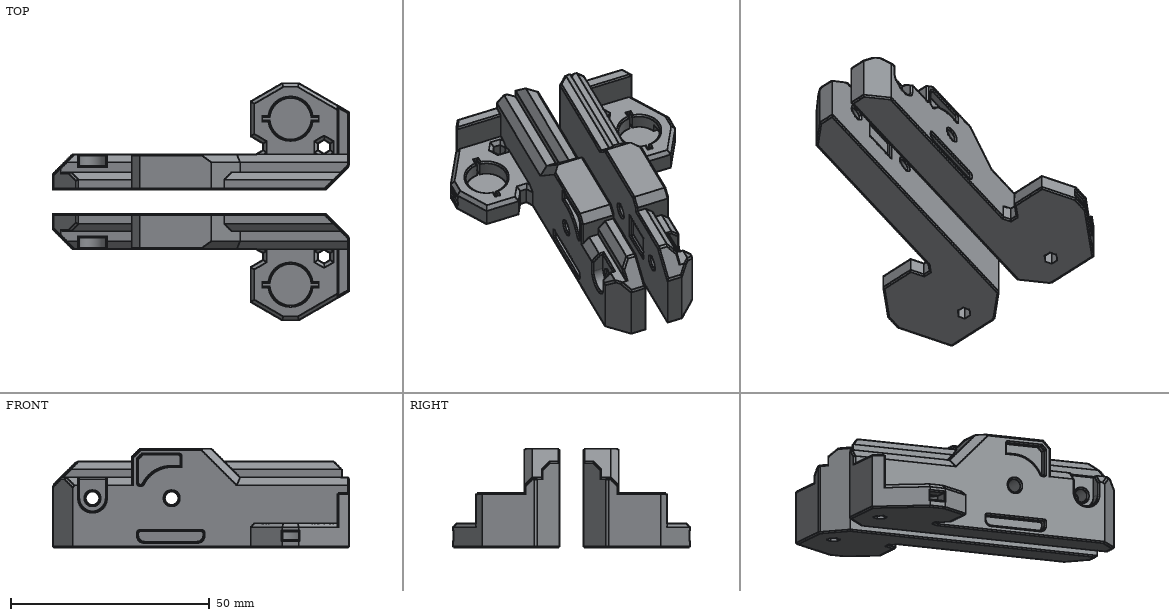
import cadquery as cq
import math

LENGTH = 74.8
HALF_WIDTH = 29.9
HEIGHT = 25.0

INNER_FACE = 3.0
RIDGE_TOP_EDGE = 5.5
RIDGE_FOOT = 7.5
OUTER_FACE = 12.0
LEDGE_HEIGHT = 17.7
RIDGE_HEIGHT = 21.8
BEVEL = 2.0
SHOULDER = LEDGE_HEIGHT - BEVEL
EDGE = 0.4

NOSE_CORNER = 5.0
TAIL_CORNER = 6.0
RAMP_START = SHOULDER

BLOCK_START = 20.0
BLOCK_TOP_END = 40.0

BOLT_HOLE = 3.4
BOLT_HEIGHT = 12.5
SEAT_BOLT_X = 10.0
PIVOT_BOLT_X = 30.0
SEAT_RADIUS = 3.3
SEAT_FLOOR = 9.05

RECESS_DEPTH = 2.0
RECESS_START = 21.6
WINDOW_TOP = 23.4
WINDOW_END = 32.2
WINDOW_TIP = 15.9
WINDOW_ARC_RADIUS = 8.2
WINDOW_CORNER = 1.05
WINDOW_TIP_ROUND = 0.4
SLOT_END = 37.9
SLOT_BOTTOM = 1.6
SLOT_TOP = 4.1
SLOT_LOWER_ROUND = 1.4
SLOT_UPPER_ROUND = 0.4

INNER_POCKET_LENGTH = 8.2
INNER_POCKET_HEIGHT = 6.7
INNER_POCKET_DEPTH = 1.0

FOOT_HEIGHT = 6.1
FOOT_CHAMFER = 1.0
FOOT_LEFT = 49.9
FOOT_ROOT = OUTER_FACE - 0.75
FOOT_SLOPE = math.tan(math.radians(30))
TIP_WIDTH = 4.2
MAGNET_X = 60.0
MAGNET_Y = 20.95
MAGNET_DIAMETER = 10.5
MAGNET_FLOOR = 2.0
PRY_SLOT_LENGTH = 14.2
PRY_SLOT_WIDTH = 0.7
TIP_WINDOW_WIDTH = 4.05
TIP_WINDOW_HEIGHT = 2.0
HEX_SPACING = 16.9
HEX_Y = 13.85
HEX_FLATS = 3.0
HEX_CIRCUMRADIUS = HEX_FLATS / math.sqrt(3)

WALL_THICKNESS = 3.0
WALL_HEIGHT = 13.85

TOL = 0.01


def side_sketch(y):
    """Workplane in X-Z at the given Y, extruding toward -Y (outward)."""
    return cq.Workplane("XZ", origin=(0, y, 0))


def rail():
    """Rail with a high inner ridge and a lower bevelled ledge outside it."""
    section = [
        (-INNER_FACE, 0),
        (-INNER_FACE, RIDGE_HEIGHT),
        (-RIDGE_TOP_EDGE, RIDGE_HEIGHT),
        (-RIDGE_FOOT, RIDGE_HEIGHT - (RIDGE_FOOT - RIDGE_TOP_EDGE)),
        (-RIDGE_FOOT, LEDGE_HEIGHT),
        (-OUTER_FACE + BEVEL, LEDGE_HEIGHT),
        (-OUTER_FACE, SHOULDER),
        (-OUTER_FACE, 0),
    ]
    return cq.Workplane("YZ").polyline(section).close().extrude(LENGTH)


def block():
    """Raised block whose 45 degree rear slope runs down into the rail."""
    outline = [
        (BLOCK_START, 0),
        (BLOCK_START, HEIGHT - BEVEL),
        (BLOCK_START + BEVEL, HEIGHT),
        (BLOCK_TOP_END, HEIGHT),
        (BLOCK_TOP_END + HEIGHT, 0),
    ]
    solid = side_sketch(-INNER_FACE).polyline(outline).close().extrude(OUTER_FACE - INNER_FACE)
    solid = solid.faces("<Y").edges(">X").chamfer(BEVEL)
    rim = solid.faces("<Y").edges().filter(lambda e: e.Center().x < BLOCK_TOP_END and e.Center().z > TOL)
    return rim.chamfer(EDGE)


def nose_ramp():
    points = [(0, RAMP_START), (0, HEIGHT), (HEIGHT - RAMP_START, HEIGHT)]
    return side_sketch(0).polyline(points).close().extrude(OUTER_FACE)


def corner_prism(x, y, dx, dy):
    """Vertical triangular prism with its right angle at (x, y) and legs dx and dy."""
    return cq.Workplane("XY").polyline([(x, y), (x + dx, y), (x, y + dy)]).close().extrude(HEIGHT)


def break_beam_edges(beam):
    """Small chamfers along the inner face, the nose and the tail."""
    def on_ramp(p):
        return abs(p.z - p.x - RAMP_START) < TOL

    def on_nose_corner(p):
        return abs(p.x + (p.y + OUTER_FACE) - NOSE_CORNER) < TOL

    def on_tail_corner(p):
        return abs((LENGTH - p.x) - (p.y + INNER_FACE + TAIL_CORNER)) < TOL

    def wanted(edge):
        p = edge.Center()
        if p.z < TOL:
            return False
        upright = abs(edge.tangentAt(0).z) > 0.75 - TOL
        on_ledge = abs(p.z - LEDGE_HEIGHT) < TOL
        inner = abs(p.y + INNER_FACE) < TOL
        if on_ramp(p):
            return not on_ledge
        if on_nose_corner(p) and not upright:
            return True
        if on_tail_corner(p) and not inner:
            return True
        return inner and (not upright or BLOCK_START - TOL < p.x < BLOCK_TOP_END)

    return beam.edges().filter(wanted).chamfer(EDGE)


def beam():
    solid = rail().union(block()).cut(nose_ramp())
    solid = solid.cut(corner_prism(0, -OUTER_FACE, NOSE_CORNER, NOSE_CORNER))
    solid = solid.cut(corner_prism(LENGTH, -INNER_FACE, -TAIL_CORNER, -TAIL_CORNER))
    return break_beam_edges(solid)


def hole_cutter(x):
    return side_sketch(0).center(x, BOLT_HEIGHT).circle(BOLT_HOLE / 2).extrude(OUTER_FACE)


def cut_seat(solid):
    """Open-topped seat for a screw head, with every edge of its mouth broken."""
    depth = OUTER_FACE - SEAT_FLOOR
    outline = side_sketch(-SEAT_FLOOR).center(SEAT_BOLT_X, BOLT_HEIGHT)
    solid = solid.cut(outline.circle(SEAT_RADIUS).extrude(depth))
    upper = cq.Workplane("XY").box(2 * SEAT_RADIUS, depth, HEIGHT - BOLT_HEIGHT, centered=False)
    solid = solid.cut(upper.translate((SEAT_BOLT_X - SEAT_RADIUS, -OUTER_FACE, BOLT_HEIGHT)))

    def on_mouth(edge):
        p = edge.Center()
        on_ledge = abs(p.z - LEDGE_HEIGHT) < TOL
        on_bevel = abs((p.z - SHOULDER) - (p.y + OUTER_FACE)) < TOL
        on_outer = abs(p.y + OUTER_FACE) < TOL
        in_reach = abs(p.x - SEAT_BOLT_X) < SEAT_RADIUS + TOL and p.z > BOLT_HEIGHT - SEAT_RADIUS
        return in_reach and p.y < -SEAT_FLOOR + TOL and (on_ledge or on_bevel or on_outer)

    return solid.edges().filter(on_mouth).chamfer(EDGE)


def window_cutter():
    """Recess beside the pivot bolt, bounded below by an arc around that bolt."""
    tip_x = PIVOT_BOLT_X - math.sqrt(WINDOW_ARC_RADIUS**2 - (WINDOW_TIP - BOLT_HEIGHT) ** 2)
    step_z = BOLT_HEIGHT + WINDOW_ARC_RADIUS
    mid = WINDOW_ARC_RADIUS * math.sqrt(0.5)
    cutter = (
        side_sketch(-OUTER_FACE + RECESS_DEPTH)
        .moveTo(RECESS_START, WINDOW_TIP)
        .lineTo(RECESS_START, WINDOW_TOP - WINDOW_CORNER)
        .lineTo(RECESS_START + WINDOW_CORNER, WINDOW_TOP)
        .lineTo(WINDOW_END, WINDOW_TOP)
        .lineTo(WINDOW_END, step_z)
        .lineTo(PIVOT_BOLT_X, step_z)
        .threePointArc((PIVOT_BOLT_X - mid, BOLT_HEIGHT + mid), (tip_x, WINDOW_TIP))
        .close()
        .extrude(RECESS_DEPTH)
    )
    cutter = cutter.edges("|Y").edges("<Z").fillet(WINDOW_TIP_ROUND)
    return cutter.edges("|Y").edges(">X").edges(">Z").fillet(WINDOW_TIP_ROUND)


def slot_cutter():
    length = SLOT_END - RECESS_START
    cutter = cq.Workplane("XY").box(length, RECESS_DEPTH, SLOT_TOP - SLOT_BOTTOM, centered=False)
    cutter = cutter.edges("|Y and <Z").fillet(SLOT_LOWER_ROUND)
    cutter = cutter.edges("|Y and >Z").fillet(SLOT_UPPER_ROUND)
    return cutter.translate((RECESS_START, -OUTER_FACE, SLOT_BOTTOM))


def inner_pocket_cutter():
    cutter = cq.Workplane("XY").box(INNER_POCKET_LENGTH, INNER_POCKET_DEPTH, INNER_POCKET_HEIGHT)
    middle = (SEAT_BOLT_X + PIVOT_BOLT_X) / 2
    return cutter.translate((middle, -INNER_FACE - INNER_POCKET_DEPTH / 2, BOLT_HEIGHT))


def break_openings(solid, side):
    """Chamfer the rim of every opening in the outermost face on the given side."""
    rims = [edge for wire in solid.faces(side).val().innerWires() for edge in wire.Edges()]
    return solid.newObject(rims).chamfer(EDGE)


def beam_with_openings():
    solid = cut_seat(beam())
    solid = solid.cut(hole_cutter(SEAT_BOLT_X)).cut(hole_cutter(PIVOT_BOLT_X))
    solid = solid.cut(window_cutter()).cut(slot_cutter()).cut(inner_pocket_cutter())
    solid = break_openings(solid, "<Y")
    solid = break_openings(solid, ">Y")
    hole_rims = solid.edges("%CIRCLE").filter(lambda e: abs(e.radius() - BOLT_HOLE / 2) < TOL)
    return hole_rims.filter(lambda e: abs(e.Center().y + SEAT_FLOOR) < TOL).chamfer(EDGE)


def foot_outline():
    """Plan of the foot; its left side bites into a hexagon mirrored from the nut hole."""
    hex_x = MAGNET_X - HEX_SPACING / 2 + HEX_FLATS / 2
    half_flat = HEX_CIRCUMRADIUS / 2
    upper = HEX_Y - half_flat
    lower = HEX_Y + half_flat
    tip_left = MAGNET_X - TIP_WIDTH / 2
    tip_right = MAGNET_X + TIP_WIDTH / 2
    return [
        (hex_x - (upper - FOOT_ROOT) / FOOT_SLOPE, -FOOT_ROOT),
        (hex_x, -upper),
        (hex_x, -lower),
        (FOOT_LEFT, -lower - (hex_x - FOOT_LEFT) * FOOT_SLOPE),
        (FOOT_LEFT, -HALF_WIDTH + (tip_left - FOOT_LEFT) * FOOT_SLOPE),
        (tip_left, -HALF_WIDTH),
        (tip_right, -HALF_WIDTH),
        (LENGTH, -HALF_WIDTH + (LENGTH - tip_right) * FOOT_SLOPE),
        (LENGTH, -FOOT_ROOT),
    ]


def cut_hex_hole(solid):
    """Hexagonal through hole with a wide countersink."""
    plane = cq.Workplane("XY", origin=(MAGNET_X + HEX_SPACING / 2, -HEX_Y, 0))
    turned = plane.transformed(rotate=(0, 0, 30))
    solid = solid.cut(turned.polygon(6, 2 * HEX_CIRCUMRADIUS).extrude(FOOT_HEIGHT))
    mouth = HEX_CIRCUMRADIUS + 2 * FOOT_CHAMFER / math.sqrt(3)
    sink = turned.workplane(offset=FOOT_HEIGHT).polygon(6, 2 * mouth).extrude(-FOOT_CHAMFER, taper=45)
    return solid.cut(sink)


def foot():
    plan = cq.Workplane("XY").polyline(foot_outline()).close()
    solid = plan.extrude(FOOT_HEIGHT)
    rim = solid.faces(">Z").edges().filter(
        lambda e: e.Center().y < -FOOT_ROOT - TOL and e.Center().x < LENGTH - TOL)
    return cut_hex_hole(rim.chamfer(FOOT_CHAMFER))


def tail_wall():
    """Upright wall that follows the foot outline at its tail end."""
    plan = cq.Workplane("XY").polyline(foot_outline()).close().extrude(WALL_HEIGHT)
    slab = cq.Workplane("XY").box(WALL_THICKNESS, HALF_WIDTH, WALL_HEIGHT, centered=False)
    wall = plan.intersect(slab.translate((LENGTH - WALL_THICKNESS, -HALF_WIDTH, 0)))
    inner = wall.faces("<X").edges().filter(
        lambda e: e.Center().z > TOL and e.Center().y < -OUTER_FACE)
    top = wall.faces(">Z").edges().filter(lambda e: e.Center().y < -OUTER_FACE)
    return inner.add(top).chamfer(EDGE)


def cut_magnet_pocket(solid):
    """Blind round pocket with two narrow pry slots."""
    plane = cq.Workplane("XY", origin=(MAGNET_X, -MAGNET_Y, MAGNET_FLOOR))
    depth = FOOT_HEIGHT - MAGNET_FLOOR
    solid = solid.cut(plane.circle(MAGNET_DIAMETER / 2).extrude(depth))
    solid = solid.cut(plane.rect(PRY_SLOT_LENGTH, PRY_SLOT_WIDTH).extrude(depth))
    reach = PRY_SLOT_LENGTH / 2
    rim = solid.edges().filter(
        lambda e: abs(e.Center().z - FOOT_HEIGHT) < TOL
        and math.hypot(e.Center().x - MAGNET_X, e.Center().y + MAGNET_Y) < reach - TOL)
    return rim.chamfer(EDGE)


def cut_tip_window(solid):
    """Window from the tip of the foot into the magnet pocket."""
    height = MAGNET_FLOOR + TIP_WINDOW_HEIGHT / 2
    face = cq.Workplane("XZ", origin=(MAGNET_X, -HALF_WIDTH, height))
    window = face.rect(TIP_WINDOW_WIDTH, TIP_WINDOW_HEIGHT).extrude(MAGNET_Y - HALF_WIDTH)
    flare = face.rect(TIP_WINDOW_WIDTH + 2 * EDGE, TIP_WINDOW_HEIGHT + 2 * EDGE).extrude(-EDGE, taper=45)
    return solid.cut(window).cut(flare)


def holder():
    """Complete holder on the -Y side of the mid plane."""
    solid = beam_with_openings().union(foot()).union(tail_wall())
    solid = solid.faces(">X").edges().filter(lambda e: e.Center().z > WALL_HEIGHT).chamfer(EDGE)
    base = solid.faces("<Z").val().outerWire().Edges()
    solid = solid.newObject(base).chamfer(EDGE)
    solid = cut_magnet_pocket(solid)
    return cut_tip_window(solid)


near_holder = holder()
far_holder = near_holder.mirror("XZ")

result = cq.Compound.makeCompound([near_holder.val(), far_holder.val()])